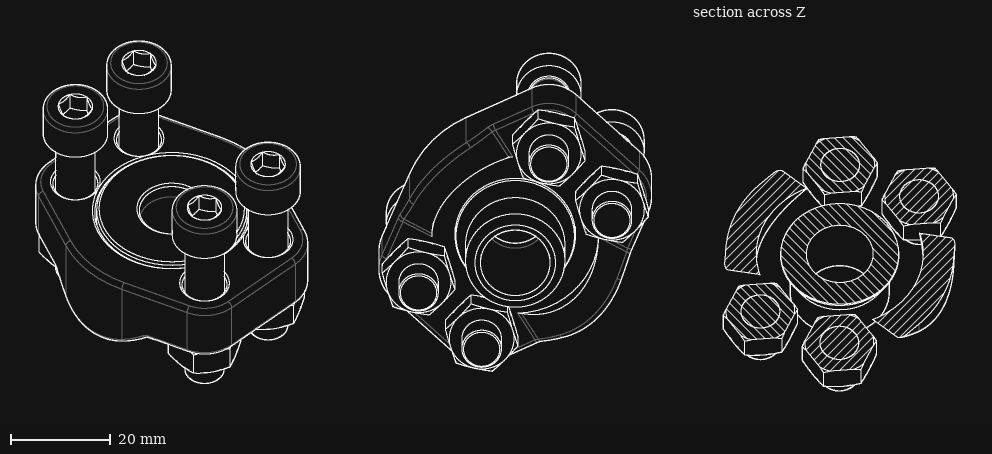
import cadquery as cq
import math


BOLT_X = 19.0
BOLT_Y = 8.75
BOLT_CENTRES = [(sx * BOLT_X, sy * BOLT_Y) for sx in (-1, 1) for sy in (-1, 1)]

FLANGE_LENGTH = 54.0
FLANGE_WIDTH = 45.95
FLANGE_HEIGHT = 13.0
FLANGE_FILLET = 1.0
HOLE_CHAMFER = 0.5
BOLT_HOLE_DIAMETER = 9.0
COLLAR_SEAT_DIAMETER = 30.95
NECK_HOLE_DIAMETER = 24.25

ARCH_AXIS_Z = 13.75
ARCH_MIDDLE_RADIUS = 15.75
ARCH_TAPER = 10.0
ARCH_OVERRUN = 1.1
LOBE_INNER_DIAMETER = 33.5
VALLEY_FILLET = 1.0

NECK_DIAMETER = 20.0
NECK_TOP_Z = 13.6
NECK_LENGTH = 29.95
NECK_TIP_DIAMETER = 16.2
NECK_TIP_CHAMFER_HEIGHT = 1.35
COLLAR_DIAMETER = 30.2
COLLAR_HEIGHT = 6.0
COLLAR_CHAMFER = 0.5
SHOULDER_DIAMETER = 23.8
TAPER_TOP_Z = -0.65
TAPER_BOTTOM_Z = -5.45
BORE_DIAMETER = 13.0
BORE_STRAIGHT_DEPTH = 3.5
BORE_EXIT_DIAMETER = 14.0
BORE_CHAMFER = 0.5

SHANK_DIAMETER = 7.95
SHANK_LENGTH = 40.0
SHANK_END_CHAMFER = 0.3
BOLT_HEAD_Z = 27.25
BOLT_HEAD_DIAMETER = 13.0
BOLT_HEAD_HEIGHT = 8.0
BOLT_HEAD_FILLET = 0.8
UNDERHEAD_DIAMETER = 8.55
UNDERHEAD_FLARE_HEIGHT = 0.3
UNDERHEAD_TAPER_DIAMETER = 8.05
UNDERHEAD_TAPER_DEPTH = 0.95
SOCKET_ACROSS_FLATS = 6.0
SOCKET_DEPTH = 4.0
SOCKET_ROTATION = 35.5
SOCKET_POINT_HEIGHT = 1.75
SOCKET_RIM_DIAMETER = 6.9
SOCKET_RIM_DEPTH = 0.5

NUT_ACROSS_FLATS = 13.0
NUT_HEIGHT = 6.5
NUT_CHAMFER_ANGLE = 30.0

HEX_CORNER_RATIO = 1 / math.cos(math.radians(30))


def flange_outline():
    """Two round ends at the width, four round corners about the bolts, joined by tangent lines."""
    end_radius = FLANGE_WIDTH / 2
    corner_radius = FLANGE_LENGTH / 2 - BOLT_X
    normal = math.atan2(BOLT_Y, BOLT_X) + math.acos(
        (end_radius - corner_radius) / math.hypot(BOLT_X, BOLT_Y)
    )
    half_normal = normal / 2
    side_x = FLANGE_LENGTH / 2
    end_x = end_radius * math.cos(normal)
    end_y = end_radius * math.sin(normal)
    tangent_x = BOLT_X + corner_radius * math.cos(normal)
    tangent_y = BOLT_Y + corner_radius * math.sin(normal)
    middle_x = BOLT_X + corner_radius * math.cos(half_normal)
    middle_y = BOLT_Y + corner_radius * math.sin(half_normal)
    return (
        cq.Workplane("XY")
        .moveTo(side_x, -BOLT_Y)
        .lineTo(side_x, BOLT_Y)
        .threePointArc((middle_x, middle_y), (tangent_x, tangent_y))
        .lineTo(end_x, end_y)
        .threePointArc((0, end_radius), (-end_x, end_y))
        .lineTo(-tangent_x, tangent_y)
        .threePointArc((-middle_x, middle_y), (-side_x, BOLT_Y))
        .lineTo(-side_x, -BOLT_Y)
        .threePointArc((-middle_x, -middle_y), (-tangent_x, -tangent_y))
        .lineTo(-end_x, -end_y)
        .threePointArc((0, -end_radius), (end_x, -end_y))
        .lineTo(tangent_x, -tangent_y)
        .threePointArc((middle_x, -middle_y), (side_x, -BOLT_Y))
        .close()
    )


def arch(side):
    """Cone lying along Y that widens from the middle of the flange to one side (+1 or -1)."""
    reach = FLANGE_WIDTH / 2 + ARCH_OVERRUN
    wide_radius = ARCH_MIDDLE_RADIUS + reach * math.tan(math.radians(ARCH_TAPER))
    centre = cq.Vector(0, 0, ARCH_AXIS_Z)
    cone = cq.Solid.makeCone(ARCH_MIDDLE_RADIUS, wide_radius, reach, pnt=centre, dir=cq.Vector(0, side, 0))
    return cq.Workplane(cone)


def on_bottom_rim(edge):
    """True for an edge at the foot of the outer wall, false inside the underside or up the wall."""
    middle = edge.positionAt(0.5)
    return middle.z < FLANGE_FILLET / 2 and math.hypot(middle.x, middle.y) > LOBE_INNER_DIAMETER / 2


def round_flange_edges(flange):
    """Fillet the valleys where the lobes leave the underside, then the rims at top and bottom."""
    flange = flange.edges("%HYPERBOLA").fillet(VALLEY_FILLET)
    flange = flange.faces(">Z").edges().fillet(FLANGE_FILLET)
    return flange.edges().filter(on_bottom_rim).fillet(FLANGE_FILLET)


def disc(diameter, bottom_z, top_z):
    return cq.Workplane("XY").workplane(offset=bottom_z).circle(diameter / 2).extrude(top_z - bottom_z)


def chamfered_hole(diameter, bottom_z):
    """Cutter from bottom_z up to the top of the flange, flared at the rim by the hole chamfer."""
    radius = diameter / 2
    return (
        cq.Workplane("XZ")
        .moveTo(0, bottom_z)
        .lineTo(radius, bottom_z)
        .lineTo(radius, FLANGE_HEIGHT - HOLE_CHAMFER)
        .lineTo(radius + HOLE_CHAMFER, FLANGE_HEIGHT)
        .lineTo(0, FLANGE_HEIGHT)
        .close()
        .revolve(360, (0, 0, 0), (0, 1, 0))
    )


def make_flange():
    flange = flange_outline().extrude(FLANGE_HEIGHT)
    lobe_blank = flange_outline().extrude(-ARCH_MIDDLE_RADIUS)
    for side in (-1, 1):
        flange = flange.union(lobe_blank.intersect(arch(side)))
    flange = round_flange_edges(flange)
    flange = flange.cut(disc(LOBE_INNER_DIAMETER, -ARCH_MIDDLE_RADIUS, 0))
    collar_bottom_z = NECK_TOP_Z - COLLAR_HEIGHT
    flange = flange.cut(disc(NECK_HOLE_DIAMETER, 0, FLANGE_HEIGHT))
    flange = flange.cut(chamfered_hole(COLLAR_SEAT_DIAMETER, collar_bottom_z))
    for x, y in BOLT_CENTRES:
        flange = flange.cut(chamfered_hole(BOLT_HOLE_DIAMETER, 0).translate((x, y, 0)))
    return flange


def make_neck():
    top_inner = COLLAR_DIAMETER / 2 - COLLAR_CHAMFER
    bottom_z = NECK_TOP_Z - NECK_LENGTH
    bore_radius = BORE_DIAMETER / 2
    return (
        cq.Workplane("XZ")
        .moveTo(bore_radius + BORE_CHAMFER, NECK_TOP_Z)
        .lineTo(top_inner, NECK_TOP_Z)
        .lineTo(COLLAR_DIAMETER / 2, NECK_TOP_Z - COLLAR_CHAMFER)
        .lineTo(COLLAR_DIAMETER / 2, NECK_TOP_Z - COLLAR_HEIGHT)
        .lineTo(SHOULDER_DIAMETER / 2, NECK_TOP_Z - COLLAR_HEIGHT)
        .lineTo(SHOULDER_DIAMETER / 2, TAPER_TOP_Z)
        .lineTo(NECK_DIAMETER / 2, TAPER_BOTTOM_Z)
        .lineTo(NECK_DIAMETER / 2, bottom_z + NECK_TIP_CHAMFER_HEIGHT)
        .lineTo(NECK_TIP_DIAMETER / 2, bottom_z)
        .lineTo(BORE_EXIT_DIAMETER / 2, bottom_z)
        .lineTo(bore_radius, NECK_TOP_Z - BORE_STRAIGHT_DEPTH)
        .lineTo(bore_radius, NECK_TOP_Z - BORE_CHAMFER)
        .close()
        .revolve(360, (0, 0, 0), (0, 1, 0))
    )


def hexagon_prism(across_flats, height):
    return cq.Workplane("XY").polygon(6, across_flats * HEX_CORNER_RATIO).extrude(height)


def make_nut():
    """Hexagon nut below z = 0, flats facing +Y and -Y, corners chamfered at both ends."""
    seat_radius = NUT_ACROSS_FLATS / 2
    corner_radius = seat_radius * HEX_CORNER_RATIO
    chamfer = (corner_radius - seat_radius) * math.tan(math.radians(NUT_CHAMFER_ANGLE))
    envelope = (
        cq.Workplane("XZ")
        .moveTo(SHANK_DIAMETER / 2, 0)
        .lineTo(seat_radius, 0)
        .lineTo(corner_radius, -chamfer)
        .lineTo(corner_radius, chamfer - NUT_HEIGHT)
        .lineTo(seat_radius, -NUT_HEIGHT)
        .lineTo(SHANK_DIAMETER / 2, -NUT_HEIGHT)
        .close()
        .revolve(360, (0, 0, 0), (0, 1, 0))
    )
    prism = hexagon_prism(NUT_ACROSS_FLATS, NUT_HEIGHT).translate((0, 0, -NUT_HEIGHT))
    return prism.intersect(envelope)


def make_socket():
    """Cutter for the hexagon socket below z = 0, with a countersunk rim and a pointed bottom."""
    full_depth = SOCKET_DEPTH + SOCKET_POINT_HEIGHT
    prism = hexagon_prism(SOCKET_ACROSS_FLATS, full_depth).translate((0, 0, -full_depth))
    prism = prism.rotate((0, 0, 0), (0, 0, 1), SOCKET_ROTATION)
    corner_radius = SOCKET_ACROSS_FLATS / 2 * HEX_CORNER_RATIO
    drill = (
        cq.Workplane("XZ")
        .lineTo(corner_radius, 0)
        .lineTo(corner_radius, -SOCKET_DEPTH)
        .lineTo(0, -full_depth)
        .close()
        .revolve(360, (0, 0, 0), (0, 1, 0))
    )
    rim = cq.Solid.makeCone(SOCKET_ACROSS_FLATS / 2, SOCKET_RIM_DIAMETER / 2, SOCKET_RIM_DEPTH)
    return prism.intersect(drill).union(cq.Workplane(rim).translate((0, 0, -SOCKET_RIM_DEPTH)))


def make_bolt():
    """Socket head bolt along Z, the underside of its head at BOLT_HEAD_Z."""
    head_top = BOLT_HEAD_Z + BOLT_HEAD_HEIGHT
    head_radius = BOLT_HEAD_DIAMETER / 2
    shank_radius = SHANK_DIAMETER / 2
    end_z = BOLT_HEAD_Z - SHANK_LENGTH
    body = (
        cq.Workplane("XZ")
        .moveTo(0, end_z)
        .lineTo(shank_radius - SHANK_END_CHAMFER, end_z)
        .lineTo(shank_radius, end_z + SHANK_END_CHAMFER)
        .lineTo(shank_radius, BOLT_HEAD_Z - UNDERHEAD_TAPER_DEPTH)
        .lineTo(UNDERHEAD_TAPER_DIAMETER / 2, BOLT_HEAD_Z - UNDERHEAD_FLARE_HEIGHT)
        .lineTo(UNDERHEAD_DIAMETER / 2, BOLT_HEAD_Z)
        .lineTo(head_radius, BOLT_HEAD_Z)
        .lineTo(head_radius, head_top - BOLT_HEAD_FILLET)
        .radiusArc((head_radius - BOLT_HEAD_FILLET, head_top), -BOLT_HEAD_FILLET)
        .lineTo(0, head_top)
        .close()
        .revolve(360, (0, 0, 0), (0, 1, 0))
    )
    return body.cut(make_socket().translate((0, 0, head_top)))


flange = make_flange()
neck = make_neck()
bolt = make_bolt()
nut = make_nut()

bolts = [bolt.translate((x, y, 0)) for x, y in BOLT_CENTRES]
nuts = [nut.translate((x, y, 0)) for x, y in BOLT_CENTRES]

result = cq.Compound.makeCompound(
    [flange.val(), neck.val()] + [body.val() for body in bolts + nuts]
)